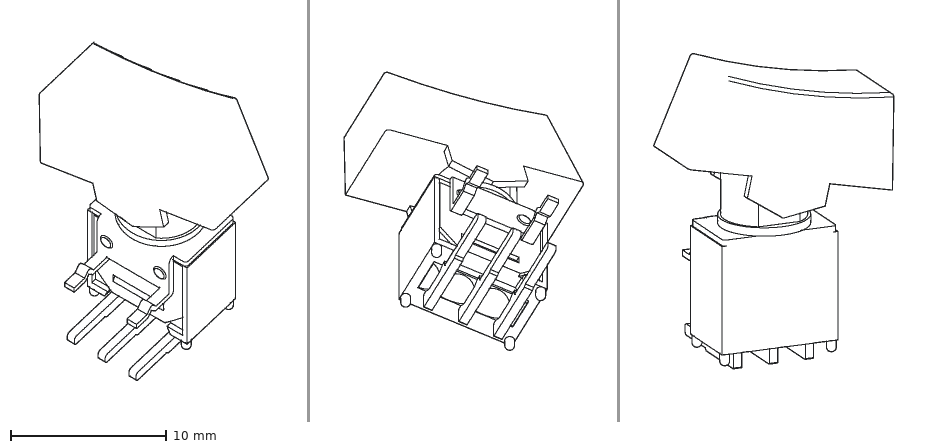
import cadquery as cq


case_length = 8.17
case_width = 5.05
case_height = 7.32
front_y = -case_width / 2
frame_wall = 0.36
frame_sill = 0.6
recess_depth = 0.38
panel_half = 3.62
panel_bottom = 0.67
panel_corner_x = 2.18
panel_corner_z = 2.15
panel_setback = 0.1
panel_chamfer = 0.26
slot_length = 4.13
slot_bottom = 1.75
slot_height = 0.63
notch_top_half = 2.4
notch_bottom_half = 2.7
notch_depth = 1.25

sheet = 0.4
cover_length = 8.01
cover_corner_radius = 0.25
cover_top = case_height + sheet
bracket_half = 2.95
bracket_front = front_y - 0.42
bracket_bend_radius = 0.4
bracket_bottom = 4.45
leg_width = 0.79
leg_tip_y = -6.35
leg_bottom = bracket_bottom - sheet
leg_bend_radius = 0.28
leg_root_radius = 0.1
kink_y = -4.8
kink_apex_rise = 0.55
kink_apex_radius = 0.22
kink_upper_half = 0.47
kink_lower_half = 0.38

rivet_x = 2.18
rivet_z = 5.93
rivet_radius = 0.5
rivet_step_radius = 0.4
rivet_tip_radius = 0.2
rivet_step = 0.08
rivet_height = 0.15

flange_radius = 6.0 / 2
flange_top = 8.3
stem_radius = 2.81
stem_half_flats = 2.4
stem_top = 12.55

tilt = 12.5
pivot_z = 8.7
rocker_width = 5.87
rocker_base_z = 2.71
rocker_base_half = 7.35
rocker_height = 6.4
rocker_top_half = 6.03
rocker_dish = 0.47
rocker_edge_radius = 0.25
tab_half = 2.81
tab_corner_drop = 1.5
tab_tip_drop = 2.57

terminal_pitch = 2.53
terminal_width = 0.59
terminal_back_y = 1.52
terminal_shoulder_y = -1.5
terminal_step_y = -3.03
terminal_tip_y = -6.25
terminal_top = -0.47
terminal_tip_bottom = -1.23
terminal_bottom = -1.4
terminal_tip_radius = 0.26
terminal_corner = 0.08

bead_radius = 3.25 / 2
bead_depth = 0.49
bead_half_length = 3.42
scallop_radius = 1.96
scallop_top = -0.06

peg_radius = 0.65 / 2
peg_length = 0.83
peg_tip_radius = 0.3


def prism_along_x(points, width, center_x=0):
    """Extrude a closed (y, z) outline by width, centred on center_x."""
    outline = cq.Workplane("YZ", origin=(center_x, 0, 0)).polyline(points).close()
    return outline.extrude(width / 2, both=True)


def prism_from_front(points, start_y, depth):
    """Extrude a closed (x, z) outline from start_y toward +Y."""
    return cq.Workplane("XZ", origin=(0, start_y, 0)).polyline(points).close().extrude(-depth)


def make_case():
    case = cq.Workplane("XY").box(case_length, case_width, case_height, centered=(True, True, False))

    opening_half = case_length / 2 - frame_wall
    opening = [
        (-opening_half, frame_sill),
        (opening_half, frame_sill),
        (opening_half, case_height),
        (-opening_half, case_height),
    ]
    case = case.cut(prism_from_front(opening, front_y, recess_depth))

    notch = [
        (-notch_bottom_half, 0),
        (notch_bottom_half, 0),
        (notch_top_half, panel_bottom),
        (-notch_top_half, panel_bottom),
    ]
    case = case.cut(prism_from_front(notch, front_y, notch_depth))

    panel_outline = [
        (-panel_corner_x, panel_bottom),
        (panel_corner_x, panel_bottom),
        (panel_half, panel_corner_z),
        (panel_half, case_height),
        (-panel_half, case_height),
        (-panel_half, panel_corner_z),
    ]
    panel_y = front_y + panel_setback
    panel = prism_from_front(panel_outline, panel_y, recess_depth - panel_setback)
    panel = panel.edges(">Z and <Y").chamfer(panel_chamfer)
    case = case.union(panel)

    slot_top = slot_bottom + slot_height
    slot_outline = [
        (panel_y, slot_bottom),
        (panel_y, slot_top),
        (panel_y + slot_height / 2, slot_top),
    ]
    return case.cut(prism_along_x(slot_outline, slot_length))


def make_cover():
    plate = cq.Workplane("XY", origin=(0, 0, case_height))
    plate = plate.box(cover_length, case_width, sheet, centered=(True, True, False))
    return plate.edges("|Z").fillet(cover_corner_radius)


def make_bracket():
    apron = prism_along_x(
        [
            (front_y + cover_corner_radius, cover_top),
            (bracket_front, cover_top),
            (bracket_front, bracket_bottom),
            (front_y, bracket_bottom),
            (front_y, case_height),
            (front_y + cover_corner_radius, case_height),
        ],
        2 * bracket_half,
    )
    bracket = apron.edges("<Y and >Z").fillet(bracket_bend_radius)

    kink_apex_z = bracket_bottom + kink_apex_rise
    leg_outline = [
        (front_y, bracket_bottom + sheet),
        (bracket_front, bracket_bottom + sheet),
        (bracket_front, bracket_bottom),
        (kink_y + kink_upper_half, bracket_bottom),
        (kink_y, kink_apex_z),
        (kink_y - kink_upper_half, bracket_bottom),
        (leg_tip_y, bracket_bottom),
        (leg_tip_y, leg_bottom),
        (kink_y - kink_lower_half, leg_bottom),
        (kink_y, leg_bottom + kink_lower_half),
        (kink_y + kink_lower_half, leg_bottom),
        (front_y, leg_bottom),
    ]
    for side in (-1, 1):
        leg_x = side * (bracket_half - leg_width / 2)
        leg = prism_along_x(leg_outline, leg_width, leg_x)
        leg = leg.edges(">Y and <Z").fillet(leg_bend_radius)
        root = cq.selectors.NearestToPointSelector((leg_x, bracket_front, bracket_bottom))
        leg = leg.edges(root).fillet(leg_root_radius)
        apex = cq.selectors.NearestToPointSelector((leg_x, kink_y, kink_apex_z))
        leg = leg.edges(apex).fillet(kink_apex_radius)
        bracket = bracket.union(leg)
    return bracket


def make_rivet(x):
    profile = (
        cq.Workplane("XY")
        .moveTo(0, front_y + recess_depth)
        .lineTo(rivet_radius, front_y + recess_depth)
        .lineTo(rivet_radius, bracket_front)
        .lineTo(rivet_step_radius, bracket_front - rivet_step)
        .lineTo(rivet_tip_radius, bracket_front - rivet_height)
        .lineTo(0, bracket_front - rivet_height)
        .close()
    )
    return profile.revolve(360, (0, 0, 0), (0, 1, 0)).translate((x, 0, rivet_z))


def make_bushing():
    flange = cq.Workplane("XY", origin=(0, 0, cover_top)).circle(flange_radius)
    flange = flange.extrude(flange_top - cover_top)
    stem = cq.Workplane("XY", origin=(0, 0, flange_top)).circle(stem_radius)
    stem = stem.extrude(stem_top - flange_top)
    flats = cq.Workplane("XY").box(2 * stem_radius, 2 * stem_half_flats, 2 * stem_top)
    return flange.union(stem.intersect(flats))


def make_rocker():
    top_z = rocker_base_z + rocker_height
    tab_corner_z = rocker_base_z - tab_corner_drop
    hull = (
        cq.Workplane("XZ")
        .moveTo(-rocker_base_half, rocker_base_z)
        .lineTo(rocker_base_half, rocker_base_z)
        .lineTo(rocker_top_half, top_z)
        .threePointArc((0, top_z - rocker_dish), (-rocker_top_half, top_z))
        .close()
        .extrude(rocker_width / 2, both=True)
    )
    rounded = hull.faces("%CYLINDER").edges()
    rounded = rounded.add(hull.faces("<X").edges("<Y"))
    rounded = rounded.add(hull.faces(">X").edges("<Y or >Y"))
    rocker = rounded.fillet(rocker_edge_radius)

    tabs = (
        cq.Workplane("XZ")
        .moveTo(-tab_half, rocker_base_z)
        .lineTo(-tab_half, tab_corner_z)
        .lineTo(0, rocker_base_z - tab_tip_drop)
        .lineTo(tab_half, tab_corner_z)
        .lineTo(tab_half, rocker_base_z)
        .close()
        .extrude(rocker_width / 2, both=True)
    )
    gap = cq.Workplane("XY").box(2 * rocker_base_half, 2 * stem_half_flats, 2 * rocker_base_z)
    rocker = rocker.union(tabs.cut(gap))
    return rocker.rotate((0, 0, 0), (0, 1, 0), -tilt).translate((0, 0, pivot_z))


def make_terminal(x):
    step_run = terminal_tip_bottom - terminal_bottom
    outline = [
        (terminal_back_y, 0),
        (terminal_back_y, terminal_bottom),
        (terminal_step_y + step_run, terminal_bottom),
        (terminal_step_y, terminal_tip_bottom),
        (terminal_tip_y, terminal_tip_bottom),
        (terminal_tip_y, terminal_top),
        (terminal_shoulder_y, terminal_top),
        (terminal_shoulder_y, 0),
    ]
    terminal = prism_along_x(outline, terminal_width, x)
    terminal = terminal.faces("<Y").edges("|X").fillet(terminal_tip_radius)
    return terminal.edges(">Y and <Z").chamfer(terminal_corner)


def make_bead():
    bead = cq.Workplane("YZ").center(0, bead_radius - bead_depth).circle(bead_radius)
    bead = bead.extrude(bead_half_length, both=True)
    below_case = cq.Workplane("XY").box(
        2 * bead_half_length, 2 * bead_radius, bead_depth, centered=(True, True, False)
    )
    bead = bead.intersect(below_case.translate((0, 0, -bead_depth)))
    for step in (-1.5, -0.5, 0.5, 1.5):
        scallop = cq.Workplane("XZ").center(step * terminal_pitch, scallop_top - scallop_radius)
        scallop = scallop.circle(scallop_radius).extrude(bead_radius, both=True)
        bead = bead.cut(scallop)
    return bead


def make_peg(x, y):
    peg = cq.Workplane("XY").circle(peg_radius).extrude(-peg_length)
    peg = peg.faces("<Z").edges().fillet(peg_tip_radius)
    return peg.translate((x, y, 0))


result = make_case().union(make_cover()).union(make_bracket())
result = result.union(make_bushing()).union(make_rocker()).union(make_bead())
for side in (-1, 1):
    result = result.union(make_rivet(side * rivet_x))
for step in (-1, 0, 1):
    result = result.union(make_terminal(step * terminal_pitch))
for x_side in (-1, 1):
    for y_side in (-1, 1):
        peg_x = x_side * (case_length / 2 - peg_radius)
        peg_y = y_side * (case_width / 2 - peg_radius)
        result = result.union(make_peg(peg_x, peg_y))